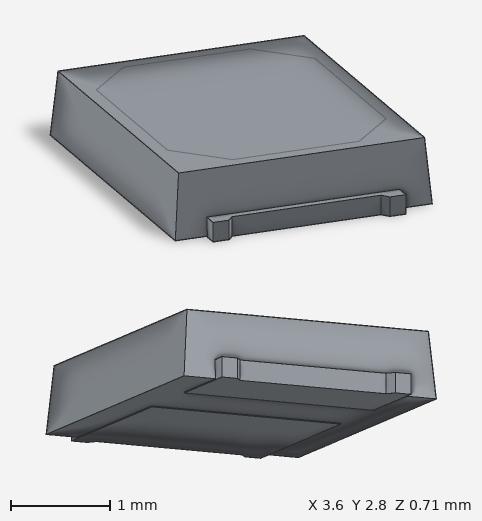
import cadquery as cq

body_length = 3.3
body_width = 2.8
body_top_length = 3.18
body_top_width = 2.68
total_height = 0.71
standoff = 0.01
body_height = total_height - standoff

lens_length = 2.88
lens_width = 2.38
lens_corner = 0.5
lens_depth = 0.3

span = 3.6
lead_width = 2.1
lead_height = 0.21
notch_depth = 0.08
notch_width = 1.62
notch_flare = 0.065
left_lead_inner_x = -0.9
right_lead_inner_x = -0.12


def make_housing():
    return (
        cq.Workplane("XY", origin=(0, 0, standoff))
        .rect(body_length, body_width)
        .workplane(offset=body_height)
        .rect(body_top_length, body_top_width)
        .loft(ruled=True)
    )


def make_lens():
    return (
        cq.Workplane("XY", origin=(0, 0, total_height - lens_depth))
        .rect(lens_length, lens_width)
        .extrude(lens_depth)
        .edges("|Z")
        .chamfer(lens_corner)
    )


def make_lead(side, inner_x):
    """Flat lead on one side (-1 or +1 along X), running inward to inner_x."""
    tip_x = side * span / 2
    floor_x = side * (span / 2 - notch_depth)
    edge_y = lead_width / 2
    floor_y = notch_width / 2
    mouth_y = floor_y + notch_flare
    outline = [
        (inner_x, -edge_y),
        (tip_x, -edge_y),
        (tip_x, -mouth_y),
        (floor_x, -floor_y),
        (floor_x, floor_y),
        (tip_x, mouth_y),
        (tip_x, edge_y),
        (inner_x, edge_y),
    ]
    return cq.Workplane("XY").polyline(outline).close().extrude(lead_height)


housing = make_housing()
for lead_side, lead_inner_x in ((-1, left_lead_inner_x), (1, right_lead_inner_x)):
    housing = housing.union(make_lead(lead_side, lead_inner_x))

lens = make_lens()
result = housing.cut(lens).union(lens, clean=False)